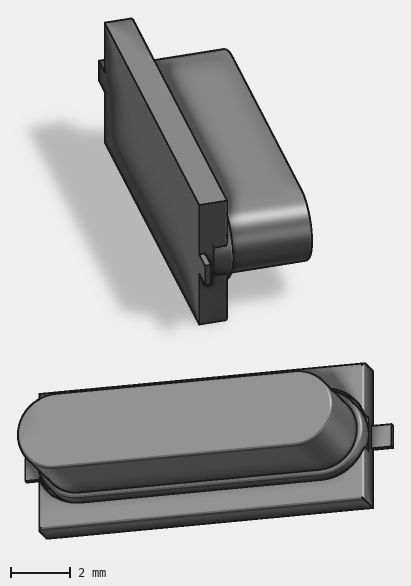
import cadquery as cq

overall_length = 12.8
overall_height = 4.0

can_axis_z = 0.03

base_length = 11.39
base_width = 4.8
base_thickness = 1.0
base_edge_radius = 0.1

can_length = 11.01
can_width = 2.62
can_edge_radius = 0.1
flange_overhang = (base_length - can_length) / 2
flange_top = 1.2
flange_edge_radius = 0.1

recess_floor = 0.5
recess_clearance = 0.1

terminal_width = 0.78
terminal_thickness = 0.2


def rounded_bar(offset, bottom, top):
    """Round-ended bar on the can axis: the can outline grown by offset, from bottom to top along Y."""
    return (
        cq.Workplane("XZ", origin=(0, bottom, can_axis_z))
        .slot2D(can_length + 2 * offset, can_width + 2 * offset)
        .extrude(bottom - top)
    )


def block(length, width, bottom, top, axis_z=0):
    """Rectangular block centred on X = 0 and Z = axis_z, from bottom to top along Y."""
    return cq.Workplane("XY").box(length, top - bottom, width).translate((0, (bottom + top) / 2, axis_z))


def make_base():
    base = block(base_length, base_width, 0, base_thickness)
    base = base.faces(">Y").edges().fillet(base_edge_radius)
    recess = rounded_bar(flange_overhang + recess_clearance, recess_floor, base_thickness)
    return base.cut(recess)


def make_can():
    flange = rounded_bar(flange_overhang, recess_floor, flange_top)
    flange = flange.faces(">Y").edges().fillet(flange_edge_radius)
    can = rounded_bar(0, recess_floor, overall_height)
    can = can.faces(">Y").edges().fillet(can_edge_radius)
    return can.union(flange)


def make_terminals():
    return block(overall_length, terminal_width, 0, terminal_thickness, can_axis_z)


result = make_base().union(make_can()).union(make_terminals())